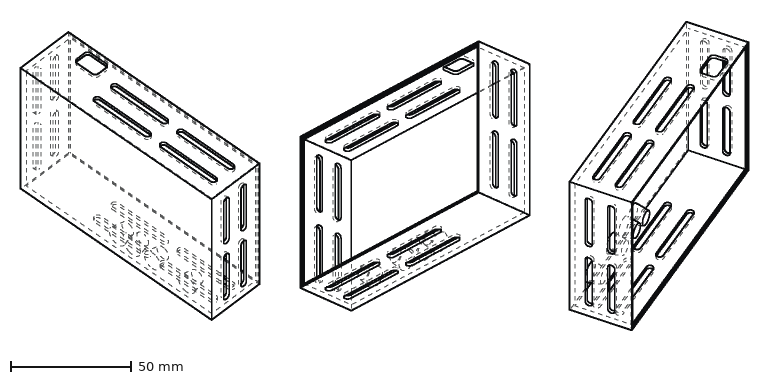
import cadquery as cq

length = 110.0
depth = 28.8
height = 72.0
wall = 1.6

rim_step_width = 0.9
rim_step_depth = 0.8

slot_width = 3.2
slot_rows_y = (8.9, 19.4)
end_slot_length = 26.8
end_slot_pitch = 33.3
top_slot_length = 31.9
top_slot_centers_x = (50.0, 88.1)

port_length = 12.3
port_width = 8.1
port_radius = 1.9
port_x = 19.5
port_y = 22.3

boss_tip_diameter = 6.7
boss_taper = 12.0
boss_top_y = 7.9
boss_height = boss_top_y - wall
boss_z = 8.9
boss_centers_x = (54.0, 62.7, 74.2, 93.9)


def make_shell():
    """Box with five walls, open towards +Y."""
    outer = cq.Workplane("XY").box(length, depth, height, centered=False)
    return outer.faces(">Y").shell(-wall)


def make_rim_step():
    """Shallow rectangle that widens the opening next to the rim."""
    side_margin = 2 * (wall - rim_step_width)
    return (
        cq.Workplane("XZ", origin=(length / 2, depth, height / 2))
        .rect(length - side_margin, height - side_margin)
        .extrude(rim_step_depth)
    )


def make_bosses():
    """Row of conical standoffs rising from the front wall along +Y."""
    return (
        cq.Workplane("XZ", origin=(0, boss_top_y, 0))
        .pushPoints([(x, boss_z) for x in boss_centers_x])
        .circle(boss_tip_diameter / 2)
        .extrude(boss_height, taper=-boss_taper)
    )


def make_top_and_bottom_slots():
    """Slots along X that pass through the top and bottom walls."""
    centers = [(x, y) for x in top_slot_centers_x for y in slot_rows_y]
    return (
        cq.Workplane("XY")
        .pushPoints(centers)
        .slot2D(top_slot_length, slot_width)
        .extrude(height)
    )


def make_end_slots():
    """Slots along Z that pass through both end walls."""
    centers_z = [height / 2 + side * end_slot_pitch / 2 for side in (-1, 1)]
    centers = [(y, z) for y in slot_rows_y for z in centers_z]
    return (
        cq.Workplane("YZ")
        .pushPoints(centers)
        .slot2D(end_slot_length, slot_width, 90)
        .extrude(length)
    )


def make_port():
    """Rounded rectangular opening through the top wall only."""
    return (
        cq.Workplane("XY", origin=(port_x, port_y, height - wall))
        .rect(port_length, port_width)
        .extrude(wall)
        .edges("|Z")
        .fillet(port_radius)
    )


body = make_shell().cut(make_rim_step())
body = body.cut(make_top_and_bottom_slots()).cut(make_end_slots()).cut(make_port())
result = body.union(make_bosses())